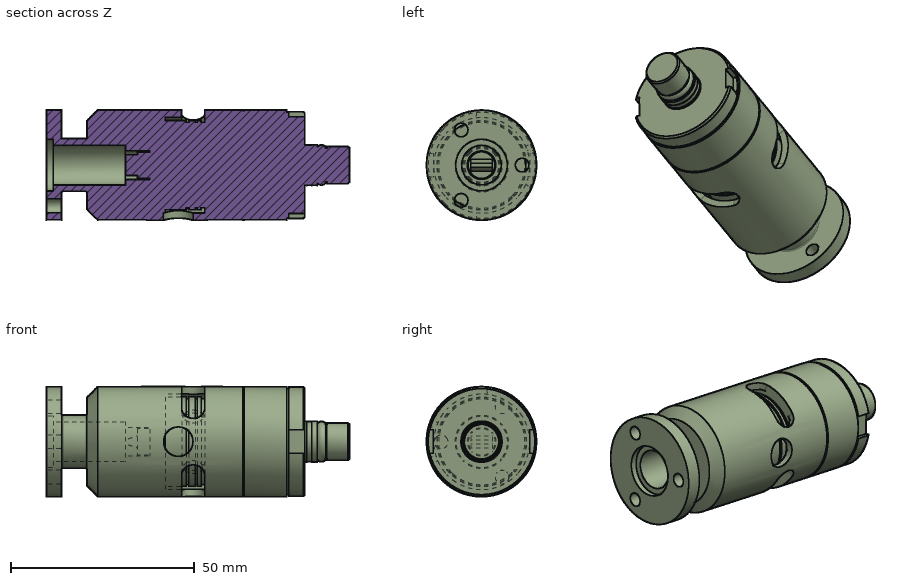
import cadquery as cq
import math

length = 82.5
outer_radius = 15.0
cutter_reach = outer_radius + 0.8

flange_thickness = 4.1
neck_radius = 7.3
neck_fillet = 0.25
recess_radius = 7.0
recess_depth = 1.8
bore_radius = 5.4
bolt_circle_radius = 11.05
bolt_hole_diameter = 3.7

body_start = 11.0
body_chamfer = 3.0
joint_start = 53.5
joint_width = 0.4
joint_depth = 0.1
cap_groove_start = 65.4
cap_start = 66.0
cap_groove_depth = 0.5
cap_end = 70.4
cap_radius = 14.9
cap_chamfer = 0.5
notch_width = 6.35
notch_floor = 13.2

collar_radius = 5.6
collar_groove_start = 70.9
collar_groove_end = 72.3
collar_groove_depth = 0.1
collar_end = 73.75
seal_end = 76.0
seal_edge_radius = 4.95
seal_radius = 5.5
plug_neck_radius = 4.6
plug_start = 76.3
plug_radius = 5.1
plug_chamfer = 0.4

wall_radius = 13.0
slot_center = 39.9
slot_width = 6.3
slot_sweep = 46
slot_angles = (60, 180, 300)
window_center = 35.9
window_diameter = 8.0

cavity_start = 32.3
cavity_end = slot_center + slot_width / 2
drum_radius = 12.2
drum_groove_radius = 11.7
wide_groove_start = 38.0
wide_groove_end = 38.8
narrow_groove_start = 40.5
narrow_groove_end = 41.0
drum_step = 42.1

bore_end = 21.45
socket_radius = 3.9
socket_end = 28.05
shaft_radius = 3.6
shaft_end = 24.75
blade_tip_half = 0.6
blade_root_half = 1.65
blade_length = 3.3
blade_half_width = 2.9


def disc(start, end, radius):
    """Cylinder on the X axis between two stations."""
    return cq.Workplane("YZ").workplane(offset=start).circle(radius).extrude(end - start)


def ring(start, end, inner, outer):
    """Annular ring on the X axis between two stations."""
    return disc(start, end, outer).cut(disc(start, end, inner))


def fillet_ring(station, direction):
    """Concave fillet where the neck meets the face at a station."""
    reach = direction * neck_fillet
    bend = neck_fillet * (1 - math.sqrt(0.5))
    return (
        cq.Workplane("XY")
        .moveTo(station, 0)
        .lineTo(station, neck_radius + neck_fillet)
        .threePointArc((station + direction * bend, neck_radius + bend), (station + reach, neck_radius))
        .lineTo(station + reach, 0)
        .close()
        .revolve(360, (0, 0, 0), (1, 0, 0))
    )


def make_shell():
    flange = disc(0, flange_thickness, outer_radius)
    neck = disc(flange_thickness, body_start, neck_radius)
    neck = neck.union(fillet_ring(flange_thickness, 1)).union(fillet_ring(body_start, -1))
    body = disc(body_start, cap_groove_start, outer_radius).faces("<X").chamfer(body_chamfer)
    groove_floor = disc(cap_groove_start, cap_start, outer_radius - cap_groove_depth)
    cap = disc(cap_start, cap_end, cap_radius).faces(">X").chamfer(cap_chamfer)
    joint = ring(joint_start, joint_start + joint_width, outer_radius - joint_depth, cutter_reach)
    return flange.union(neck).union(body).union(groove_floor).union(cap).cut(joint)


def make_connector():
    collar = disc(cap_end, collar_end, collar_radius)
    collar = collar.cut(
        ring(collar_groove_start, collar_groove_end, collar_radius - collar_groove_depth, collar_radius)
    )
    seal = (
        cq.Workplane("XY")
        .moveTo(collar_end, 0)
        .lineTo(collar_end, seal_edge_radius)
        .threePointArc(((collar_end + seal_end) / 2, seal_radius), (seal_end, seal_edge_radius))
        .lineTo(seal_end, 0)
        .close()
        .revolve(360, (0, 0, 0), (1, 0, 0))
    )
    core = disc(collar_end, plug_start, plug_neck_radius)
    plug = disc(plug_start, length, plug_radius).faces(">X").chamfer(plug_chamfer)
    return collar.union(core).union(seal).union(plug)


def make_drum_clearance():
    clearance = ring(cavity_start, cavity_end, drum_radius, wall_radius)
    grooves = (
        (wide_groove_start, wide_groove_end),
        (narrow_groove_start, narrow_groove_end),
        (drum_step, cavity_end),
    )
    for start, end in grooves:
        clearance = clearance.union(ring(start, end, drum_groove_radius, wall_radius))
    return clearance


def radial_hole(station, diameter, angle):
    """Hole pointing out from the axis, turned about it from -Y toward +Z by an angle in degrees."""
    hole = cq.Workplane("XZ").center(station, 0).circle(diameter / 2).extrude(cutter_reach)
    return hole.rotate((0, 0, 0), (1, 0, 0), -angle)


def curved_slot(angle):
    """Slot running around the body, with a round hole at each end."""
    start = angle - slot_sweep / 2
    middle = (
        cq.Workplane("XY")
        .center(slot_center, 0)
        .moveTo(-slot_width / 2, 0)
        .hLineTo(slot_width / 2)
        .vLineTo(-cutter_reach)
        .hLineTo(-slot_width / 2)
        .close()
        .revolve(slot_sweep, (0, 0, 0), (-1, 0, 0))
    )
    middle = middle.rotate((0, 0, 0), (1, 0, 0), -start)
    first = radial_hole(slot_center, slot_width, start)
    last = radial_hole(slot_center, slot_width, start + slot_sweep)
    return middle.union(first).union(last)


def make_wall_openings():
    openings = radial_hole(window_center, window_diameter, 0)
    for angle in slot_angles:
        openings = openings.union(curved_slot(angle))
    return openings.cut(disc(0, length, wall_radius))


def make_bolt_holes():
    return (
        cq.Workplane("YZ")
        .polarArray(bolt_circle_radius, 180, 360, 3)
        .circle(bolt_hole_diameter / 2)
        .extrude(flange_thickness)
    )


def make_bore():
    bore = disc(0, recess_depth, recess_radius).union(disc(0, bore_end, bore_radius))
    socket = disc(bore_end, socket_end, socket_radius)
    return bore.union(socket)


def make_blade():
    shaft = disc(shaft_end, socket_end, shaft_radius)
    blade = (
        cq.Workplane("XZ")
        .polyline([
            (shaft_end - blade_length, -blade_tip_half),
            (shaft_end - blade_length, blade_tip_half),
            (shaft_end, blade_root_half),
            (shaft_end, -blade_root_half),
        ])
        .close()
        .extrude(blade_half_width, both=True)
    )
    return shaft.union(blade)


def make_cap_notches():
    notch = cq.Workplane("XY").box(
        cap_end - cap_start, cutter_reach - notch_floor, notch_width, centered=(False, False, True)
    )
    notch = notch.translate((cap_start, notch_floor, 0))
    return notch.union(notch.mirror("XZ"))


result = make_shell().union(make_connector())
result = result.cut(make_bore()).cut(make_bolt_holes())
result = result.cut(make_drum_clearance()).cut(make_wall_openings()).cut(make_cap_notches())
result = result.union(make_blade())